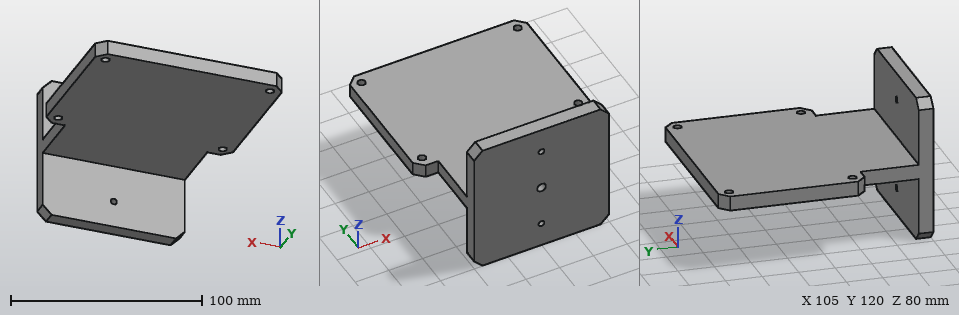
import cadquery as cq
import math

total_depth = 120.0
thickness = 8.0
corner_cut = 5.0

front_side = 80.0
pin_spacing = 50.0
pin_hole_diameter = 3.4
center_hole_diameter = 5.0
center_hole_depth = thickness
drill_point_angle = 118.0

deck_width = 105.0
deck_depth = 80.0
deck_hole_inset = 6.2
deck_hole_diameter = 4.3

deck_front = total_depth - deck_depth
deck_center_y = deck_front + deck_depth / 2


def make_front_plate():
    """Square plate in the XZ plane with cut corners; outer face at Y = 0."""
    return (
        cq.Workplane("XY")
        .box(front_side, thickness, front_side, centered=(True, False, True))
        .edges("|Y")
        .chamfer(corner_cut)
    )


def make_deck():
    """Horizontal plate with cut corners and a hole near each corner."""
    return (
        cq.Workplane("XY")
        .box(deck_width, deck_depth, thickness)
        .edges("|Z")
        .chamfer(corner_cut)
        .faces(">Z")
        .workplane()
        .rect(deck_width - 2 * deck_hole_inset, deck_depth - 2 * deck_hole_inset, forConstruction=True)
        .vertices()
        .hole(deck_hole_diameter)
        .translate((0, deck_center_y, 0))
    )


def make_neck():
    """Horizontal web from the front plate to the deck, overlapping its cut corners."""
    neck_depth = deck_front + corner_cut
    return cq.Workplane("XY").box(front_side, neck_depth, thickness, centered=(True, False, True))


def make_pin_holes():
    """Two small holes through the front plate, above and below the deck."""
    return (
        cq.Workplane("XZ")
        .pushPoints([(0, -pin_spacing / 2), (0, pin_spacing / 2)])
        .circle(pin_hole_diameter / 2)
        .extrude(-thickness)
    )


def make_center_hole():
    """Blind drilled hole along Y with a conical bottom."""
    radius = center_hole_diameter / 2
    tip_depth = center_hole_depth + radius / math.tan(math.radians(drill_point_angle / 2))
    return (
        cq.Workplane("XY")
        .polyline([(0, 0), (radius, 0), (radius, center_hole_depth), (0, tip_depth)])
        .close()
        .revolve(360, (0, 0, 0), (0, 1, 0))
    )


body = make_front_plate().union(make_neck()).union(make_deck())
result = body.cut(make_pin_holes()).cut(make_center_hole())